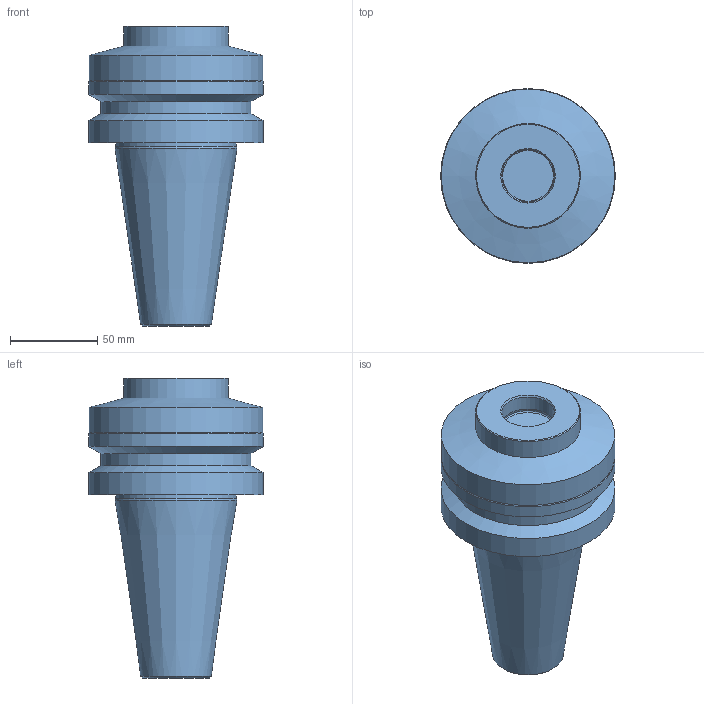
import cadquery as cq

taper_length = 101.8
neck_bottom = 1.0
flange_bottom = 3.0
flange_top = 38.0
groove_centre = 23.25
groove_floor_width = 7.0
body_top = 53.2
nose_bottom = 58.4
nose_top = 70.0

gauge_diameter = 69.85
taper_ratio = 7 / 24
neck_diameter = 69.2
flange_diameter = 100.0
body_diameter = 99.5
groove_diameter = 85.9
nose_diameter = 60.0
bore_diameter = 30.0

groove_flank_slope = 3**0.5
tail_chamfer = 0.9
flange_chamfer_height = 0.75
nose_chamfer = 0.5
bore_chamfer_width = 0.6
bore_chamfer_height = 1.0
bore_depth = 11.6
relief_height = 2.2
relief_depth = 0.3
relief_corner_radius = 0.8

gauge_radius = gauge_diameter / 2
flange_radius = flange_diameter / 2
groove_radius = groove_diameter / 2
body_radius = body_diameter / 2
nose_radius = nose_diameter / 2
bore_radius = bore_diameter / 2
taper_slope = taper_ratio / 2
neck_radius = neck_diameter / 2
tail_radius = gauge_radius - taper_slope * taper_length
flank_height = (flange_radius - groove_radius) / groove_flank_slope
groove_floor_bottom = groove_centre - groove_floor_width / 2
groove_floor_top = groove_centre + groove_floor_width / 2


def spin(outline):
    """Turn a closed XZ outline into a solid of revolution about Z."""
    return outline.revolve(360, (0, 0, 0), (0, 1, 0))


def turned_solid(points):
    """Solid of revolution with straight edges between (radius, height) corners."""
    return spin(cq.Workplane("XZ").polyline(points).close())


def make_shank():
    """Steep taper with a chamfered tail, and a short back-cone up to the neck under the flange."""
    chamfer_start = tail_radius + taper_slope * tail_chamfer
    return turned_solid([
        (0, -taper_length),
        (tail_radius - tail_chamfer, -taper_length),
        (chamfer_start, tail_chamfer - taper_length),
        (gauge_radius, 0),
        (neck_radius, neck_bottom),
        (neck_radius, flange_bottom),
        (0, flange_bottom),
    ])


def make_flange():
    """Flange disc with a V-sided gripper groove and a beveled step to the body."""
    return turned_solid([
        (0, flange_bottom),
        (flange_radius, flange_bottom),
        (flange_radius, groove_floor_bottom - flank_height),
        (groove_radius, groove_floor_bottom),
        (groove_radius, groove_floor_top),
        (flange_radius, groove_floor_top + flank_height),
        (flange_radius, flange_top),
        (body_radius, flange_top + flange_chamfer_height),
        (0, flange_top + flange_chamfer_height),
    ])


def make_head():
    """Body above the flange, its conical shoulder and the cylindrical nose."""
    return turned_solid([
        (0, flange_top),
        (body_radius, flange_top),
        (body_radius, body_top),
        (nose_radius, nose_bottom),
        (nose_radius, nose_top - nose_chamfer),
        (nose_radius - nose_chamfer, nose_top),
        (0, nose_top),
    ])


def make_bore():
    """Blind bore with a chamfered mouth and a flared, round-cornered relief at its floor."""
    floor = nose_top - bore_depth
    relief_radius = bore_radius + relief_depth
    outline = (
        cq.Workplane("XZ")
        .moveTo(0, floor)
        .lineTo(relief_radius - relief_corner_radius, floor)
        .radiusArc((relief_radius, floor + relief_corner_radius), -relief_corner_radius)
        .lineTo(bore_radius, floor + relief_height)
        .lineTo(bore_radius, nose_top - bore_chamfer_height)
        .lineTo(bore_radius + bore_chamfer_width, nose_top)
        .lineTo(0, nose_top)
        .close()
    )
    return spin(outline)


result = make_shank().union(make_flange()).union(make_head()).cut(make_bore())